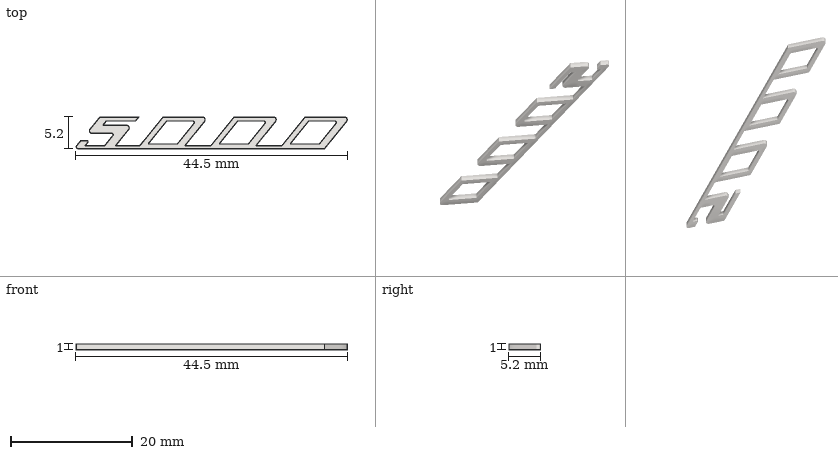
import cadquery as cq

height = 5.2
thickness = 1.0
slant = 0.81

bar_top = 0.55
hook_top = 1.35
waist_bottom = 2.55
waist_top = 3.85
top_stroke_bottom = 4.55
window_bottom = 0.8

five_left = -0.35
five_right = 6.05
slot_left = 1.25
stem_left = 4.22
hook_right = 1.05

zero_count = 3
zero_start = 10.0
zero_pitch = 11.65
zero_width = 7.42
window_left = 1.15
window_right = 5.9

zero_radius = 0.45
window_radius = 0.22
five_radius = 0.45
waist_radius = 0.4
stem_radius = 0.22
hook_radius = 0.2
bar_end_radius = 0.3


def slanted(base_x, y):
    """Point at height y on the sloping line that starts at base_x."""
    return (base_x + slant * y, y)


def plate(points):
    return cq.Workplane("XY").polyline(points).close().extrude(thickness)


def parallelogram(left, right, bottom, top):
    return plate([
        slanted(left, bottom),
        slanted(right, bottom),
        slanted(right, top),
        slanted(left, top),
    ])


def round_corner(body, point, radius):
    """Fillet the upright edge that passes through the given corner."""
    x, y = point
    return body.edges("|Z").edges(cq.NearestToPointSelector((x, y, thickness / 2))).fillet(radius)


def make_five():
    upper_left = slanted(five_left, waist_bottom)
    waist_right = slanted(five_right, waist_top)
    stem_corner = slanted(stem_left, waist_bottom)
    hook_corner = slanted(hook_right, hook_top)
    bar_end = slanted(five_left, 0)
    body = plate([
        bar_end,
        slanted(five_right, 0),
        waist_right,
        slanted(slot_left, waist_top),
        slanted(slot_left, top_stroke_bottom),
        slanted(five_right, top_stroke_bottom),
        slanted(five_right, height),
        slanted(five_left, height),
        upper_left,
        stem_corner,
        slanted(stem_left, bar_top),
        slanted(hook_right, bar_top),
        hook_corner,
        slanted(five_left, hook_top),
    ])
    body = round_corner(body, upper_left, waist_radius)
    body = round_corner(body, waist_right, five_radius)
    body = round_corner(body, stem_corner, stem_radius)
    body = round_corner(body, hook_corner, hook_radius)
    return round_corner(body, bar_end, bar_end_radius)


def make_zero(left):
    right = left + zero_width
    body = parallelogram(left, right, 0, height)
    body = round_corner(body, slanted(right, height), zero_radius)

    hole_right = left + window_right
    window = parallelogram(left + window_left, hole_right, window_bottom, top_stroke_bottom)
    window = round_corner(window, slanted(hole_right, top_stroke_bottom), window_radius)
    return body.cut(window)


last_zero = zero_start + (zero_count - 1) * zero_pitch
result = parallelogram(stem_left, last_zero + window_left, 0, bar_top)

result = result.union(make_five())
for index in range(zero_count):
    result = result.union(make_zero(zero_start + index * zero_pitch))